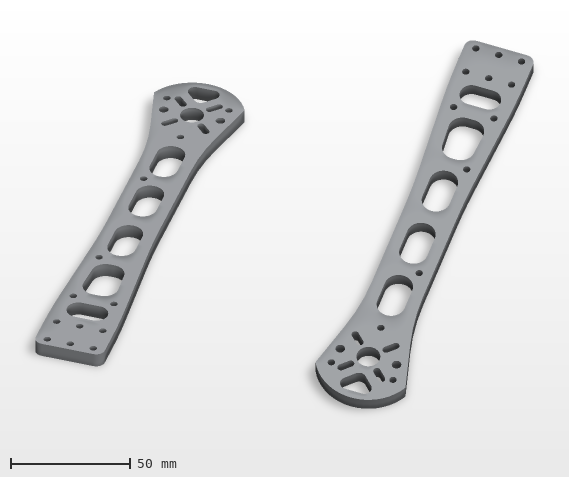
import cadquery as cq
import math

INCH = 25.4
thickness = 0.25 * INCH

head_radius = 0.88 * INCH
head_half_width = 39.97 / 2
head_corner_y = math.sqrt(head_radius**2 - head_half_width**2)
waist_half_width = 0.45 * INCH
root_half_width = 0.6 * INCH
neck_y = -23.9
flare_start_y = -88.7
flare_end_y = -144.8
neck_blend_radius = 4 * INCH
flare_blend_radius = 12 * INCH

bolt_row_near_y = -6 * INCH
bolt_row_far_y = -6.5 * INCH
bolt_spacing = 0.4 * INCH
root_margin = 0.15 * INCH
root_end_y = bolt_row_far_y - root_margin
root_corner_radius = root_margin

small_hole_diameter = 3.1
dowel_hole_diameter = 4.0
dowel_hole_x = 12.5
shaft_hole_diameter = 10.0
guard_circle_radius = 15.8
guard_hole_angles = (30, 150, 270)
inner_bolt_x = 8.95
inner_bolt_y = -133.5

motor_slot_width = 3.1
motor_slot_inner = 8.25
motor_slot_outer = 12.75
motor_slot_angles = (45, 135, 225, 315)

triangle_top_y = 18.85
triangle_apex_y = 7.75
triangle_corner_radius = 3.0

window_corner_radius = 6.0

waist_window_width = 12.1
waist_window_length = 21.6
waist_window_first_y = -33.5
waist_window_pitch = 28.55
waist_window_count = 3

taper_top_y = -108.2
taper_bottom_y = -129.9
taper_top_half_width = 6.6
flare_slope = (root_half_width - waist_half_width) / (flare_start_y - flare_end_y)
taper_bottom_half_width = taper_top_half_width + flare_slope * (taper_top_y - taper_bottom_y)

cross_slot_length = 17.9
cross_slot_height = 10.0
cross_slot_y = -141.9

upper_tie_hole = (-5.8, waist_window_first_y - 0.5 * waist_window_pitch)
lower_tie_hole = (-6.9, waist_window_first_y - 2.5 * waist_window_pitch)


def add_rounded_corner(sketch, before, corner, after, radius):
    """Draw to a corner and round it with an arc tangent to both of its sides."""
    point = cq.Vector(*corner)
    toward_before = (cq.Vector(*before) - point).normalized()
    toward_after = (cq.Vector(*after) - point).normalized()
    half_angle = toward_before.getAngle(toward_after) / 2
    tangent_length = radius / math.tan(half_angle)
    middle_distance = radius / math.sin(half_angle) - radius
    start = point + toward_before * tangent_length
    middle = point + (toward_before + toward_after).normalized() * middle_distance
    end = point + toward_after * tangent_length
    return sketch.lineTo(start.x, start.y).threePointArc((middle.x, middle.y), (end.x, end.y))


def both_sides(x, y):
    """Mirror-image points, left one first."""
    return [(-x, y), (x, y)]


def make_blank():
    head_corner = (head_half_width, head_corner_y)
    neck = (waist_half_width, neck_y)
    flare_start = (waist_half_width, flare_start_y)
    flare_end = (root_half_width, flare_end_y)
    root_corner = (root_half_width, root_end_y)
    root_middle = (0, root_end_y)
    half_angle = math.asin(head_half_width / head_radius) / 2
    head_arc_middle = (head_radius * math.sin(half_angle), head_radius * math.cos(half_angle))

    half = cq.Workplane("XY").moveTo(0, head_radius).threePointArc(head_arc_middle, head_corner)
    half = add_rounded_corner(half, head_corner, neck, flare_start, neck_blend_radius)
    half = add_rounded_corner(half, neck, flare_start, flare_end, flare_blend_radius)
    half = add_rounded_corner(half, flare_start, flare_end, root_corner, flare_blend_radius)
    half = add_rounded_corner(half, flare_end, root_corner, root_middle, root_corner_radius)
    return half.lineTo(*root_middle).mirrorY().extrude(thickness)


def round_holes(points, diameter):
    return cq.Workplane("XY").pushPoints(points).circle(diameter / 2).extrude(thickness)


def slot(center, length, width, angle):
    return cq.Workplane("XY").center(*center).slot2D(length, width, angle).extrude(thickness)


def rounded_polygon(corners, radius):
    body = cq.Workplane("XY").polyline(corners).close().extrude(thickness)
    return body.edges("|Z").fillet(radius)


def on_circle(radius, angle):
    return (radius * math.cos(math.radians(angle)), radius * math.sin(math.radians(angle)))


def small_hole_points():
    points = [on_circle(guard_circle_radius, angle) for angle in guard_hole_angles]
    points += [upper_tie_hole, lower_tie_hole]
    points += both_sides(inner_bolt_x, inner_bolt_y)
    for row_y in (bolt_row_near_y, bolt_row_far_y):
        points += [(column * bolt_spacing, row_y) for column in (-1, 0, 1)]
    return points


def cut_motor_mount(body):
    body = body.cut(round_holes([(0, 0)], shaft_hole_diameter))
    body = body.cut(round_holes(both_sides(dowel_hole_x, 0), dowel_hole_diameter))
    slot_middle = (motor_slot_inner + motor_slot_outer) / 2
    slot_length = motor_slot_outer - motor_slot_inner + motor_slot_width
    for angle in motor_slot_angles:
        body = body.cut(slot(on_circle(slot_middle, angle), slot_length, motor_slot_width, angle))
    half_width = triangle_top_y - triangle_apex_y
    corners = both_sides(half_width, triangle_top_y) + [(0, triangle_apex_y)]
    return body.cut(rounded_polygon(corners, triangle_corner_radius))


def arm_window(top_y, bottom_y, top_half_width, bottom_half_width):
    top_left, top_right = both_sides(top_half_width, top_y)
    bottom_left, bottom_right = both_sides(bottom_half_width, bottom_y)
    corners = [top_left, top_right, bottom_right, bottom_left]
    return rounded_polygon(corners, window_corner_radius)


def cut_arm_windows(body):
    half_width = waist_window_width / 2
    half_length = waist_window_length / 2
    for index in range(waist_window_count):
        middle_y = waist_window_first_y - index * waist_window_pitch
        top_y = middle_y + half_length
        bottom_y = middle_y - half_length
        body = body.cut(arm_window(top_y, bottom_y, half_width, half_width))
    tapered_window = arm_window(
        taper_top_y, taper_bottom_y, taper_top_half_width, taper_bottom_half_width
    )
    body = body.cut(tapered_window)
    return body.cut(slot((0, cross_slot_y), cross_slot_length, cross_slot_height, 0))


result = make_blank()
result = cut_motor_mount(result)
result = cut_arm_windows(result)
result = result.cut(round_holes(small_hole_points(), small_hole_diameter))